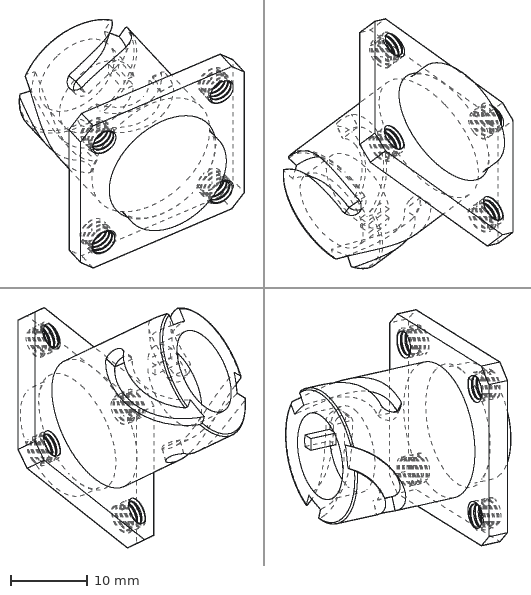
import cadquery as cq
import math

flange_front = 18.2
flange_thickness = 2.85
overall_length = 24.7
flange_back = flange_front + flange_thickness

barrel_radius = 9.125
barrel_chamfer = 0.25
bore_radius = 5.8
bore_depth = 4.9
key_width = 1.65
key_height = 1.6
key_front = 1.1

flange_side = 25.4
flange_corner = 1.95
hole_spacing = 18.2
thread_major_radius = 2.0
thread_pitch = 0.7
thread_flank_angle = 30.0
thread_crest_width = thread_pitch / 8
thread_depth_ratio = 0.5413
thread_depth = thread_depth_ratio * thread_pitch
thread_minor_radius = thread_major_radius - thread_depth
thread_overrun = 2 * thread_pitch
thread_bore_overlap = 0.1

spigot_radius = 7.83
spigot_edge_fillet = 0.5
root_length = 0.75
root_rise = 0.44

groove_count = 3
groove_width = 2.9
pocket_diameter = 3.0
groove_floor_radius = 7.2
groove_arc_radius = 14.0
groove_wrap_radius = 8.88
groove_end_x = 7.8
groove_end_angle = 57.6
groove_entry_tilt = -8.0
groove_overrun = 12.0
groove_pocket_overlap = 2.0
groove_stations = 15
groove_cutter_clearance = 1.5
groove_cutter_top = barrel_radius + groove_cutter_clearance


def make_body():
    """Barrel and spigot turned about X, with the square flange between them."""
    root_radius = (root_length**2 + root_rise**2) / (2 * root_rise)
    barrel = cq.Workplane("YZ").circle(barrel_radius).extrude(flange_back)
    barrel = barrel.faces("<X").chamfer(barrel_chamfer)
    flange = (
        cq.Workplane("YZ", origin=(flange_front, 0, 0))
        .rect(flange_side, flange_side)
        .extrude(flange_thickness)
        .edges("|X")
        .chamfer(flange_corner)
    )
    half_sweep = math.asin(root_length / root_radius) / 2
    root_mid = (
        flange_back + root_length - root_radius * math.sin(half_sweep),
        spigot_radius + root_radius * (1 - math.cos(half_sweep)),
    )
    spigot = (
        cq.Workplane("XY")
        .moveTo(flange_back, 0)
        .lineTo(flange_back, spigot_radius + root_rise)
        .threePointArc(root_mid, (flange_back + root_length, spigot_radius))
        .lineTo(overall_length, spigot_radius)
        .lineTo(overall_length, 0)
        .close()
        .revolve(360, (0, 0, 0), (1, 0, 0))
        .faces(">X")
        .edges()
        .fillet(spigot_edge_fillet)
    )
    return barrel.union(flange).union(spigot)


def make_socket():
    """Blind bore that leaves a square key standing on its +Y side."""
    bore = cq.Workplane("YZ").circle(bore_radius).extrude(bore_depth)
    key = cq.Workplane("XY").box(
        bore_depth - key_front, 2 * key_height, key_width, centered=(False, True, True)
    )
    return bore.cut(key.translate((key_front, bore_radius, 0)))


def groove_entry_angle():
    """Arc angle between the pin pocket and the mating face, in radians."""
    return math.acos((groove_arc_radius - groove_end_x) / groove_arc_radius)


def groove_corner(arc_angle, side, radius):
    """Corner of the groove section at one station of the wrapped arc."""
    x = groove_end_x - groove_arc_radius * (1 - math.cos(arc_angle))
    roll = groove_arc_radius * math.sin(arc_angle) / groove_wrap_radius
    tilt = math.radians(groove_entry_tilt) * arc_angle / groove_entry_angle()
    offset = side * groove_width / 2
    rise = radius - groove_floor_radius
    across = offset * math.sin(arc_angle)
    tangential = across * math.cos(tilt) + rise * math.sin(tilt)
    radial = groove_floor_radius - across * math.sin(tilt) + rise * math.cos(tilt)
    angle = math.radians(groove_end_angle) + roll
    y = -radial * math.cos(angle) + tangential * math.sin(angle)
    z = radial * math.sin(angle) + tangential * math.cos(angle)
    return cq.Vector(x + offset * math.cos(arc_angle), y, z)


def make_groove_channel():
    """Curved rectangular channel, bounded by ruled faces between its four corner curves."""
    first_angle = -math.radians(groove_pocket_overlap)
    last_angle = groove_entry_angle() + math.radians(groove_overrun)
    section = [
        (-1, groove_floor_radius),
        (1, groove_floor_radius),
        (1, groove_cutter_top),
        (-1, groove_cutter_top),
    ]
    step = (last_angle - first_angle) / (groove_stations - 1)
    angles = [first_angle + step * i for i in range(groove_stations)]
    rails = []
    for side, radius in section:
        rails.append(cq.Edge.makeSpline([groove_corner(a, side, radius) for a in angles]))
    faces = [cq.Face.makeRuledSurface(rails[i - 1], rails[i]) for i in range(len(rails))]
    for arc_angle in (first_angle, last_angle):
        corners = [groove_corner(arc_angle, side, radius) for side, radius in section]
        faces.append(cq.Face.makeFromWires(cq.Wire.makePolygon(corners, close=True)))
    return cq.Workplane(cq.Solid.makeSolid(cq.Shell.makeShell(faces)))


def make_pin_pocket():
    """Round pocket at the closed end of a groove, where the mating pin rests."""
    return (
        cq.Workplane("XY", origin=(groove_end_x, 0, groove_floor_radius))
        .circle(pocket_diameter / 2)
        .extrude(groove_cutter_top - groove_floor_radius)
        .rotate((0, 0, 0), (1, 0, 0), 90 - groove_end_angle)
    )


def cut_grooves(body):
    """Three equally spaced bayonet grooves, each a pin pocket and the channel leading to it."""
    for cutter in (make_pin_pocket(), make_groove_channel()):
        for index in range(groove_count):
            turn = 360 * index / groove_count
            body = body.cut(cutter.rotate((0, 0, 0), (1, 0, 0), turn))
    return body


def make_thread():
    """Helical cutter for the thread of one tapped hole, overrunning both flange faces."""
    length = flange_thickness + 2 * thread_overrun
    inner = thread_minor_radius - thread_bore_overlap
    half_crest = thread_crest_width / 2
    slope = math.tan(math.radians(thread_flank_angle))
    half_root = half_crest + (thread_major_radius - inner) * slope
    profile = [
        (inner, -half_root),
        (thread_major_radius, -half_crest),
        (thread_major_radius, half_crest),
        (inner, half_root),
    ]
    helix = cq.Wire.makeHelix(thread_pitch, length, thread_minor_radius)
    return (
        cq.Workplane("XZ")
        .polyline(profile)
        .close()
        .sweep(cq.Workplane(helix), isFrenet=True)
        .rotate((0, 0, 0), (0, 1, 0), 90)
        .translate((flange_front - thread_overrun, 0, 0))
    )


def cut_flange_holes(body):
    """Four tapped through holes; the lower pair is the upper pair turned half a turn about X."""
    thread = make_thread()
    drill = (
        cq.Workplane("YZ", origin=(flange_front, 0, 0))
        .circle(thread_minor_radius)
        .extrude(flange_thickness)
    )
    half_spacing = hole_spacing / 2
    for y in (-half_spacing, half_spacing):
        for half_turn in (0, 180):
            for cutter in (thread, drill):
                placed = cutter.translate((0, y, half_spacing))
                body = body.cut(placed.rotate((0, 0, 0), (1, 0, 0), half_turn))
    return body


result = make_body().cut(make_socket())
result = cut_grooves(result)
result = cut_flange_holes(result)